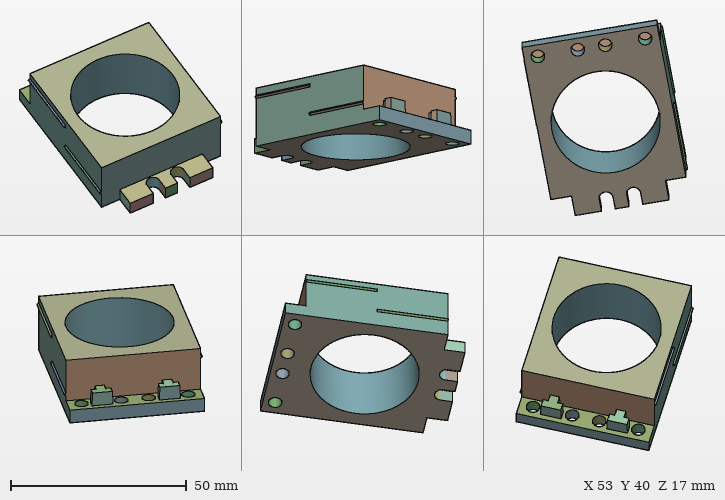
import cadquery as cq

total_length = 53.0
body_length = 41.0
body_depth = 39.0
body_height = 17.0
flange_length = (total_length - body_length) / 2
wall_x = body_length / 2
bore_diameter = 31.0

drilled_flange_height = 4.1
hole_diameter = 3.8
hole_edge_gap = 3.5
hole_x = -total_length / 2 + hole_edge_gap
inner_hole_y = 4.0
outer_hole_y = 15.5

lug_y = 9.75
lug_height = 4.0
lug_draft = 0.15
lug_edge_gap = 1.5
lug_front_x = -total_length / 2 + lug_edge_gap
head_length = 2.45
head_width = 6.1
stem_width = 3.1

slotted_flange_height = 4.25
slotted_flange_width = 27.1
slot_width = 4.0
slot_y = inner_hole_y
slot_end_gap = 0.4

ridge_projection = 0.505
ridge_height = 1.0
upper_ridge_z = 14.4
lower_ridge_z = 6.1


def base_box(x_start, length, depth, height):
    """Box standing on Z = 0, centred on the X axis."""
    return cq.Workplane("XY").box(length, depth, height, centered=(False, True, False)).translate((x_start, 0, 0))


def lug(y):
    """T-shaped lug with drafted front and sides and an upright back of the head."""
    head_back_x = lug_front_x + head_length
    top_length = head_length - lug_draft
    head = (
        cq.Workplane("XY")
        .center(head_back_x - head_length / 2, 0)
        .rect(head_length, head_width)
        .workplane(offset=lug_height)
        .center(lug_draft / 2, 0)
        .rect(top_length, head_width - 2 * lug_draft)
        .loft(ruled=True)
    )
    stem_start_x = head_back_x - head_length / 2
    stem_base = stem_width / 2
    stem_top = stem_base - lug_draft
    stem = (
        cq.Workplane("YZ", origin=(stem_start_x, 0, 0))
        .polyline([(-stem_base, 0), (stem_base, 0), (stem_top, lug_height), (-stem_top, lug_height)])
        .close()
        .extrude(-wall_x - stem_start_x)
    )
    return head.union(stem).translate((0, y, drilled_flange_height))


def slot(y):
    """Open-ended slot with a round inner end."""
    arc_x = wall_x + slot_end_gap + slot_width / 2
    round_end = cq.Workplane("XY").center(arc_x, y).circle(slot_width / 2).extrude(slotted_flange_height)
    channel = base_box(arc_x, total_length / 2 - arc_x, slot_width, slotted_flange_height)
    return round_end.union(channel.translate((0, y, 0)))


def ridge(x_start, z):
    """Ridge along half of the -Y face."""
    face_y = -body_depth / 2
    return (
        cq.Workplane("YZ", origin=(x_start, 0, 0))
        .polyline([
            (face_y, z - ridge_height / 2),
            (face_y - ridge_projection, z),
            (face_y, z + ridge_height / 2),
        ])
        .close()
        .extrude(body_length / 2)
    )


result = base_box(-wall_x, body_length, body_depth, body_height)
result = result.union(base_box(-total_length / 2, flange_length, body_depth, drilled_flange_height))
result = result.union(base_box(wall_x, flange_length, slotted_flange_width, slotted_flange_height))

result = result.cut(cq.Workplane("XY").circle(bore_diameter / 2).extrude(body_height))

hole_points = [(hole_x, y) for y in (-outer_hole_y, -inner_hole_y, inner_hole_y, outer_hole_y)]
holes = cq.Workplane("XY").pushPoints(hole_points).circle(hole_diameter / 2).extrude(drilled_flange_height)
result = result.cut(holes)

for side in (-1, 1):
    result = result.union(lug(side * lug_y))
    result = result.cut(slot(side * slot_y))

for ridge_start_x, ridge_z in ((-wall_x, upper_ridge_z), (0, lower_ridge_z)):
    for turn in (0, 180):
        result = result.union(ridge(ridge_start_x, ridge_z).rotate((0, 0, 0), (0, 0, 1), turn))